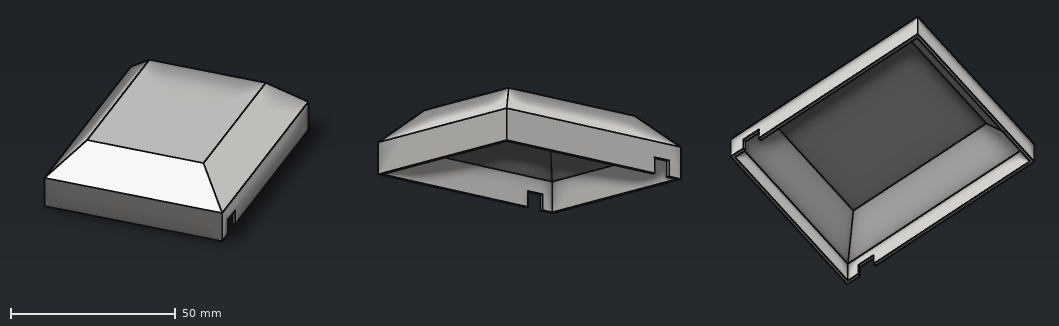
import cadquery as cq

LENGTH = 72.0
WIDTH = 58.0
HEIGHT = 20.0
RIM_HEIGHT = HEIGHT / 2
BEVEL = HEIGHT - RIM_HEIGHT

WALL = 1.0

NOTCH_WIDTH = 5.9
NOTCH_HEIGHT = RIM_HEIGHT / 2
NOTCH_FRONT_GAP = 5.0


def cover_shell():
    """Hollow cover with four sloped sides, open at the bottom."""
    block = cq.Workplane("XY").box(WIDTH, LENGTH, HEIGHT, centered=(True, True, False))
    return block.faces(">Z").chamfer(BEVEL).faces("<Z").shell(-WALL)


def notch_cutter():
    """Bar across the full width that opens both side walls at the bottom edge."""
    notch_center_y = -LENGTH / 2 + NOTCH_FRONT_GAP + NOTCH_WIDTH / 2
    bar = cq.Workplane("XY").box(WIDTH, NOTCH_WIDTH, NOTCH_HEIGHT, centered=(True, True, False))
    return bar.translate((0, notch_center_y, 0))


result = cover_shell().cut(notch_cutter())